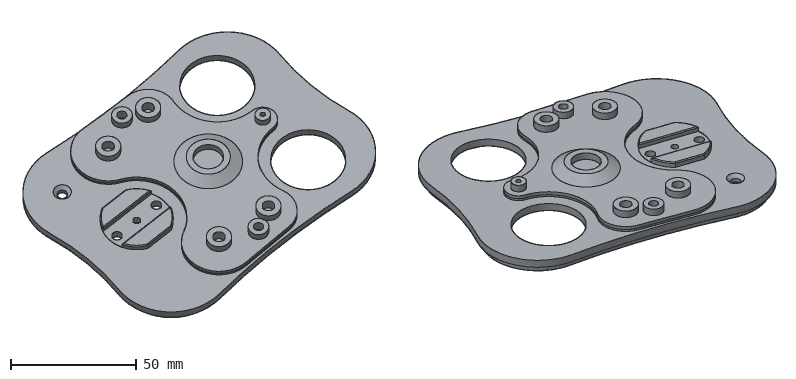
import cadquery as cq
import math

plate_length = 129.1
plate_width = 98.9
corner_radius = 25.0
end_waist = 2.3
side_waist = 2.2
lip_inset = 2.1
lip_thickness = 2.1

lip_top = 3.1
plate_top = 6.5
seat_top = 7.4
cover_top = 8.8
boss_top = 11.9

corner_x = plate_width / 2 - corner_radius
corner_y = plate_length / 2 - corner_radius

eye_x = 26.0
eye_y = 35.4
eye_radius = 15.0
eye_margin = 5.0

rail_y = -34.9
rail_radius = 14.6
rail_half_width = 13.0
rail_groove_half_width = 5.4
rail_groove_floor = 6.6
rail_chamfer = 0.45
rail_hole_pitch = 11.0
rail_end_hole_radius = 2.1
rail_middle_hole_radius = 1.5

sink_x = -31
sink_y = -46.1
sink_hole_radius = 2.1
sink_rim_radius = 3.6

nose_radius = eye_x - eye_radius - eye_margin
shoulder_x = 34.4
shoulder_y = 5.0
shoulder_radius = 11.5
hip_x = 31.6
hip_y = -19.9
hip_radius = 15.0

large_boss_radius = 5.0
large_boss_hole_radius = 2.5
side_boss_x = 39.0
side_boss_y = -5.0
side_boss_radius = 4.1
side_boss_hole_radius = 2.0
side_screw_hole_radius = 1.5
nose_boss_radius = 3.1
nose_boss_hole_radius = 1.0

dome_y = shoulder_y
dome_base_radius = 13.7
dome_top_radius = 8.8
dome_hole_radius = 6.1


def mirror_x(point):
    return (-point[0], point[1])


def toward(start, end, distance):
    """Point at a distance from start on the ray from start through end."""
    length = math.dist(start, end)
    return (
        start[0] + (end[0] - start[0]) * distance / length,
        start[1] + (end[1] - start[1]) * distance / length,
    )


def cylinder(center, radius, bottom, top):
    return cq.Workplane("XY", origin=(*center, bottom)).circle(radius).extrude(top - bottom)


def waist_radius(half_span, depth):
    """Radius of the hollow arc that is tangent to two corner arcs half_span off its axis."""
    rise = corner_radius - depth
    return (half_span**2 + rise**2 - corner_radius**2) / (2 * depth)


def plate_layer(inset, bottom, top):
    """Rounded plate with hollow sides, its outline moved inward by the inset."""
    radius = corner_radius - inset
    corner = (corner_x, corner_y)
    waist_x = plate_width / 2 - side_waist
    waist_y = plate_length / 2 - end_waist
    end_center = (0, waist_y + waist_radius(corner_x, end_waist))
    side_center = (waist_x + waist_radius(corner_y, side_waist), 0)
    end_x, end_y = toward(corner, end_center, radius)
    side_x, side_y = toward(corner, side_center, radius)
    diagonal = radius / math.sqrt(2)
    tip_x, tip_y = corner_x + diagonal, corner_y + diagonal
    return (
        cq.Workplane("XY", origin=(0, 0, bottom))
        .moveTo(-end_x, end_y)
        .threePointArc((0, waist_y - inset), (end_x, end_y))
        .threePointArc((tip_x, tip_y), (side_x, side_y))
        .threePointArc((waist_x - inset, 0), (side_x, -side_y))
        .threePointArc((tip_x, -tip_y), (end_x, -end_y))
        .threePointArc((0, inset - waist_y), (-end_x, -end_y))
        .threePointArc((-tip_x, -tip_y), (-side_x, -side_y))
        .threePointArc((inset - waist_x, 0), (-side_x, side_y))
        .threePointArc((-tip_x, tip_y), (-end_x, end_y))
        .close()
        .extrude(top - bottom)
    )


def cover_layer(bottom, top):
    """Lobed outline of tangent arcs, shared by the cover and the seat under it."""
    eye = (eye_x, eye_y)
    shoulder = (shoulder_x, shoulder_y)
    hip = (hip_x, hip_y)
    rail = (0, rail_y)
    eye_arc_radius = eye_radius + eye_margin
    rail_arc_radius = math.dist(hip, rail) - hip_radius

    nose_end = (nose_radius, eye_y)
    eye_middle = toward(eye, (0, dome_y), eye_arc_radius)
    shoulder_start = toward(shoulder, eye, shoulder_radius)
    side_angle = math.atan2(hip_y - shoulder_y, hip_x - shoulder_x)
    side_angle += math.acos((shoulder_radius - hip_radius) / math.dist(shoulder, hip))
    side = (math.cos(side_angle), math.sin(side_angle))
    shoulder_end = (shoulder_x + shoulder_radius * side[0], shoulder_y + shoulder_radius * side[1])
    diagonal = shoulder_radius / math.sqrt(2)
    shoulder_middle = (shoulder_x + diagonal, shoulder_y + diagonal)
    hip_start = (hip_x + hip_radius * side[0], hip_y + hip_radius * side[1])
    hip_bottom = (hip_x, hip_y - hip_radius)
    hip_end = toward(hip, rail, hip_radius)
    return (
        cq.Workplane("XY", origin=(0, 0, bottom))
        .moveTo(*mirror_x(nose_end))
        .threePointArc((0, eye_y + nose_radius), nose_end)
        .threePointArc(eye_middle, shoulder_start)
        .threePointArc(shoulder_middle, shoulder_end)
        .lineTo(*hip_start)
        .threePointArc(hip_bottom, hip_end)
        .threePointArc((0, rail_y + rail_arc_radius), mirror_x(hip_end))
        .threePointArc(mirror_x(hip_bottom), mirror_x(hip_start))
        .lineTo(*mirror_x(shoulder_end))
        .threePointArc(mirror_x(shoulder_middle), mirror_x(shoulder_start))
        .threePointArc(mirror_x(eye_middle), mirror_x(nose_end))
        .close()
        .extrude(top - bottom)
    )


def make_rail():
    """Round block with flat sides, chamfered on top, and a groove along Y."""
    height = cover_top - plate_top
    flats = (
        cq.Workplane("XY", origin=(0, rail_y, plate_top))
        .rect(2 * rail_half_width, 2 * rail_radius)
        .extrude(height)
    )
    block = cylinder((0, rail_y), rail_radius, plate_top, cover_top).intersect(flats)
    groove = (
        cq.Workplane("XY", origin=(0, rail_y, rail_groove_floor))
        .rect(2 * rail_groove_half_width, 2 * rail_radius)
        .extrude(height)
    )
    return block.cut(groove).faces(">Z").chamfer(rail_chamfer)


def make_base():
    """Plate with a lip below, and the cover seat, rail and through holes on top."""
    lip = plate_layer(lip_inset, 0, lip_top).cut(plate_layer(lip_inset + lip_thickness, 0, lip_top))
    base = plate_layer(0, lip_top, plate_top).union(lip)
    base = base.union(cover_layer(plate_top, seat_top)).union(make_rail())
    holes = [((side * eye_x, eye_y), eye_radius) for side in (-1, 1)]
    holes += [((side * side_boss_x, side_boss_y), side_screw_hole_radius) for side in (-1, 1)]
    holes += [((0, rail_y + side * rail_hole_pitch), rail_end_hole_radius) for side in (-1, 1)]
    holes += [
        ((0, rail_y), rail_middle_hole_radius),
        ((0, eye_y), nose_boss_hole_radius),
        ((sink_x, sink_y), sink_hole_radius),
    ]
    for center, radius in holes:
        base = base.cut(cylinder(center, radius, 0, boss_top))
    sink_depth = sink_rim_radius - sink_hole_radius
    countersink = cq.Solid.makeCone(
        sink_hole_radius, sink_rim_radius, sink_depth,
        pnt=cq.Vector(sink_x, sink_y, plate_top - sink_depth),
    )
    return base.cut(cq.Workplane(countersink))


def make_cover():
    """Lobed cover that carries a hollow dome and seven bosses."""
    cover = cover_layer(seat_top, cover_top)
    dome = cq.Solid.makeCone(
        dome_base_radius, dome_top_radius, boss_top - cover_top, pnt=cq.Vector(0, dome_y, cover_top)
    )
    cover = cover.union(cq.Workplane(dome))
    cover = cover.cut(cylinder((0, dome_y), dome_hole_radius, cover_top, boss_top))

    bosses = [((0, eye_y), nose_boss_radius, nose_boss_hole_radius)]
    for side in (-1, 1):
        bosses += [
            ((side * shoulder_x, shoulder_y), large_boss_radius, large_boss_hole_radius),
            ((side * hip_x, hip_y), large_boss_radius, large_boss_hole_radius),
            ((side * side_boss_x, side_boss_y), side_boss_radius, side_boss_hole_radius),
        ]
    for center, boss_radius, hole_radius in bosses:
        cover = cover.union(cylinder(center, boss_radius, cover_top, boss_top))
        cover = cover.cut(cylinder(center, hole_radius, seat_top, boss_top))
    return cover


base = make_base()
cover = make_cover()
result = cq.Compound.makeCompound([base.val(), cover.val()])